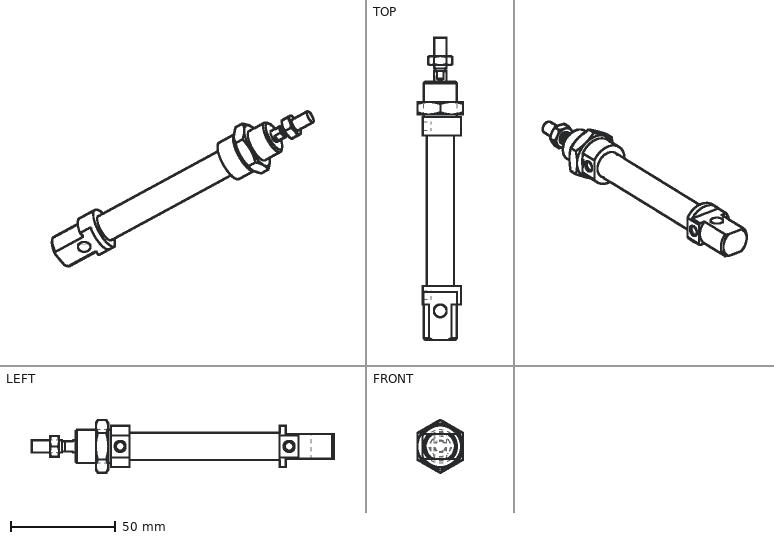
import cadquery as cq
import math


total_length = 145.0
rear_end = -14.0
rod_tip = rear_end + total_length

lug_length = 17.0
lug_thickness = 12.0
cap_length = 9.0
rear_flange_length = 3.0
pivot_hole_diameter = 6.0
cap_rear = rear_end + lug_length
rear_cap_front = cap_rear + cap_length

tube_diameter = 13.2
tube_length = 72.0
front_cap_rear = rear_cap_front + tube_length

front_cap_length = 9.0
cap_diameter = 20.0
port_flat_offset = 8.5
neck_diameter = 16.0
chamfer_size = 0.9
neck_length = 17.0
front_cap_front = front_cap_rear + front_cap_length
neck_front = front_cap_front + neck_length

port_drill_diameter = 4.2
port_mouth_diameter = 5.3
port_depth = 4.0
port_setback = 4.5

rod_diameter = 6.0
rod_thread_length = 14.7
undercut_diameter = 5.0
undercut_length = 1.3
wrench_flat_width = 5.0
wrench_flat_length = 3.6
undercut_front = rod_tip - rod_thread_length
undercut_rear = undercut_front - undercut_length

nut_chamfer_angle = 30.0
mounting_nut_width = 22.0
mounting_nut_height = 6.0
mounting_nut_face_diameter = 22.0
mounting_nut_gap = 1.2
mounting_nut_turn = 30.0
mounting_nut_rear = front_cap_front + mounting_nut_gap
rod_nut_width = 10.0
rod_nut_height = 4.4
rod_nut_face_diameter = 9.8
rod_nut_turn = 0.0
rod_nut_setback = 8.8
rod_nut_front = rod_tip - rod_nut_setback
rod_nut_rear = rod_nut_front - rod_nut_height


def rod_along_y(diameter, start, end):
    """Round bar on the Y axis between two positions."""
    return cq.Workplane("XZ", origin=(0, start, 0)).circle(diameter / 2).extrude(start - end)


def port(y):
    """Cutter for a blind air port with a countersunk mouth, drilled from the -X flat."""
    drill_radius = port_drill_diameter / 2
    mouth_radius = port_mouth_diameter / 2
    countersink_depth = mouth_radius - drill_radius
    return (
        cq.Workplane("XY", origin=(-port_flat_offset, y, 0))
        .polyline([
            (0, 0),
            (0, mouth_radius),
            (countersink_depth, drill_radius),
            (port_depth, drill_radius),
            (port_depth, 0),
        ])
        .close()
        .revolve(360, (0, 0, 0), (1, 0, 0))
    )


def make_housing():
    """Rear lug and cap, tube, and front cap with its neck, as one solid."""
    slab = cq.Workplane("XY").box(cap_diameter, total_length, lug_thickness)

    lug = rod_along_y(neck_diameter, rear_end, cap_rear).faces("<Y").chamfer(chamfer_size)
    rear_cap = rod_along_y(cap_diameter, cap_rear, rear_cap_front)
    rear_block = lug.union(rear_cap).intersect(slab)
    rear_flange = rod_along_y(cap_diameter, rear_cap_front - rear_flange_length, rear_cap_front)

    tube = rod_along_y(tube_diameter, rear_cap_front, front_cap_rear)
    front_cap = rod_along_y(cap_diameter, front_cap_rear, front_cap_front)
    neck = rod_along_y(neck_diameter, front_cap_front, neck_front).faces(">Y").chamfer(chamfer_size)
    body = rear_block.union(rear_flange).union(tube).union(front_cap).union(neck)

    port_side = (
        cq.Workplane("XY")
        .box(cap_diameter, 2 * total_length, 2 * cap_diameter)
        .translate((-port_flat_offset - cap_diameter / 2, 0, 0))
    )
    pivot_hole = cq.Workplane("XY").circle(pivot_hole_diameter / 2).extrude(lug_thickness, both=True)
    body = body.cut(port_side).cut(pivot_hole)
    for y in (rear_cap_front - port_setback, front_cap_rear + port_setback):
        body = body.cut(port(y))
    return body


def make_piston_rod():
    """Rod from the neck's front face, with a thread undercut and two flats ending in 45 degree slopes."""
    rod = (
        rod_along_y(rod_diameter, neck_front, undercut_rear)
        .union(rod_along_y(undercut_diameter, undercut_rear, undercut_front))
        .union(rod_along_y(rod_diameter, undercut_front, rod_tip))
    )
    flat_offset = wrench_flat_width / 2
    flat_rear = undercut_rear - wrench_flat_length
    slope_length = rod_diameter - flat_offset
    flat_cutter = (
        cq.Workplane("YZ")
        .polyline([
            (undercut_rear, flat_offset),
            (undercut_rear, rod_diameter),
            (flat_rear - slope_length, rod_diameter),
            (flat_rear, flat_offset),
        ])
        .close()
        .extrude(rod_diameter, both=True)
    )
    return rod.cut(flat_cutter).cut(flat_cutter.mirror("XY"))


def make_nut(width, height, face_diameter, bore, rear, turn):
    """Hexagon nut on the Y axis with both faces chamfered down to a circle.

    It has corners on +X and -X before it is turned about its axis by `turn` degrees.
    """
    corner_radius = width / 2 / math.cos(math.pi / 6)
    face_radius = face_diameter / 2
    drop = (corner_radius - face_radius) * math.tan(math.radians(nut_chamfer_angle))
    front = rear + height
    hexagon = (
        cq.Workplane("XZ", origin=(0, rear, 0))
        .polygon(6, 2 * corner_radius)
        .extrude(-height)
        .rotate((0, 0, 0), (0, 1, 0), turn)
    )
    envelope = (
        cq.Workplane("XY")
        .polyline([
            (0, rear),
            (face_radius, rear),
            (corner_radius, rear + drop),
            (corner_radius, front - drop),
            (face_radius, front),
            (0, front),
        ])
        .close()
        .revolve(360, (0, 0, 0), (0, 1, 0))
    )
    return hexagon.intersect(envelope).cut(rod_along_y(bore, rear, front))


housing = make_housing()
piston_rod = make_piston_rod()
mounting_nut = make_nut(
    mounting_nut_width,
    mounting_nut_height,
    mounting_nut_face_diameter,
    neck_diameter,
    mounting_nut_rear,
    mounting_nut_turn,
)
rod_nut = make_nut(
    rod_nut_width,
    rod_nut_height,
    rod_nut_face_diameter,
    rod_diameter,
    rod_nut_rear,
    rod_nut_turn,
)

result = cq.Compound.makeCompound([
    housing.val(),
    piston_rod.val(),
    mounting_nut.val(),
    rod_nut.val(),
])